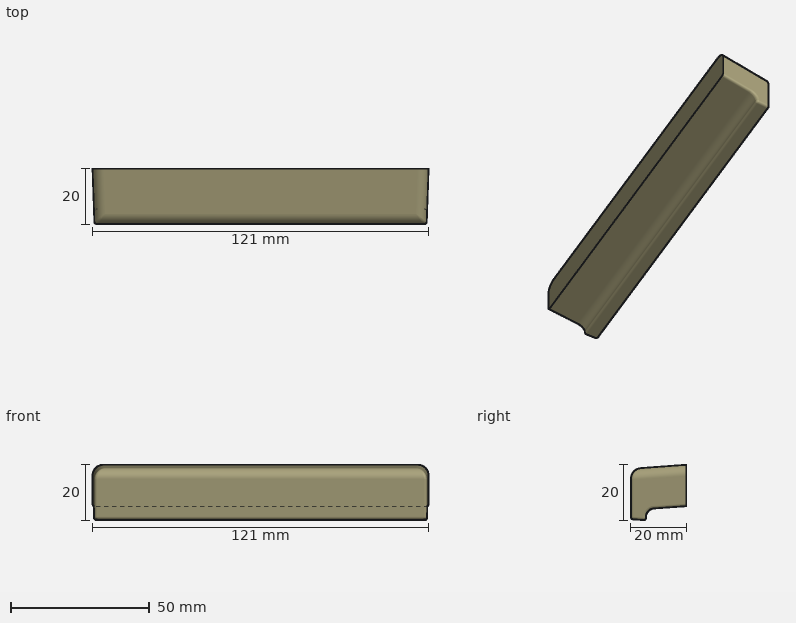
import cadquery as cq
import math

length = 121.0
depth = 20.0
height = 20.0
mount_height = 15.0
lip_thickness = 5.5
top_slope = math.radians(4.2)
base_slope = math.radians(4)
end_draft = math.radians(2)
finger_radius = 3.0
top_radius = 4.0
edge_radius = 1.0
lip_radius = 0.8
tolerance = 0.01

front_top = height - depth * math.tan(top_slope)
mount_bottom = height - mount_height
lip_root = mount_bottom - (depth - lip_thickness) * math.tan(base_slope)
lip_corner = -lip_radius * (math.tan(base_slope) + 1 / math.cos(base_slope) - 1)
front_bottom = lip_corner + lip_thickness * math.tan(base_slope)


def side_profile():
    """Hook-shaped side profile, extruded along X over the full length."""
    return (
        cq.Workplane("YZ")
        .moveTo(0, front_bottom)
        .lineTo(0, front_top)
        .lineTo(depth, height)
        .lineTo(depth, mount_bottom)
        .lineTo(lip_thickness, lip_root)
        .lineTo(lip_thickness, lip_corner)
        .close()
        .extrude(length / 2, both=True)
    )


def drafted_plan():
    """Plan outline that narrows towards the front, taller than the handle."""
    half_back = length / 2
    half_front = half_back - depth * math.tan(end_draft)
    return (
        cq.Workplane("XY")
        .polyline([(-half_front, 0), (half_front, 0), (half_back, depth), (-half_back, depth)])
        .close()
        .extrude(height, both=True)
    )


def long_edge(body, y, z):
    """The edge along X that passes through the given place of the side profile."""
    return body.edges("|X").edges(cq.selectors.NearestToPointSelector((0, y, z)))


def needs_small_round(edge):
    middle = edge.positionAt(0.5)
    on_end = abs(middle.x) > length / 4
    on_mount = middle.y > depth - tolerance
    low = middle.z < mount_bottom
    at_front_corner = on_end and middle.y < top_radius / 2
    front_bottom_edge = middle.y < tolerance and low
    return not on_mount and (front_bottom_edge or at_front_corner or (on_end and low))


def build_handle():
    body = side_profile()
    body = long_edge(body, lip_thickness, lip_root).fillet(finger_radius)
    body = long_edge(body, lip_thickness, lip_corner).fillet(lip_radius)
    body = body.intersect(drafted_plan())

    body = body.faces(">Z").edges("not(>Y)").fillet(top_radius)

    return body.edges().filter(needs_small_round).fillet(edge_radius)


handle = build_handle()
result = cq.Compound.makeCompound([handle.val()])